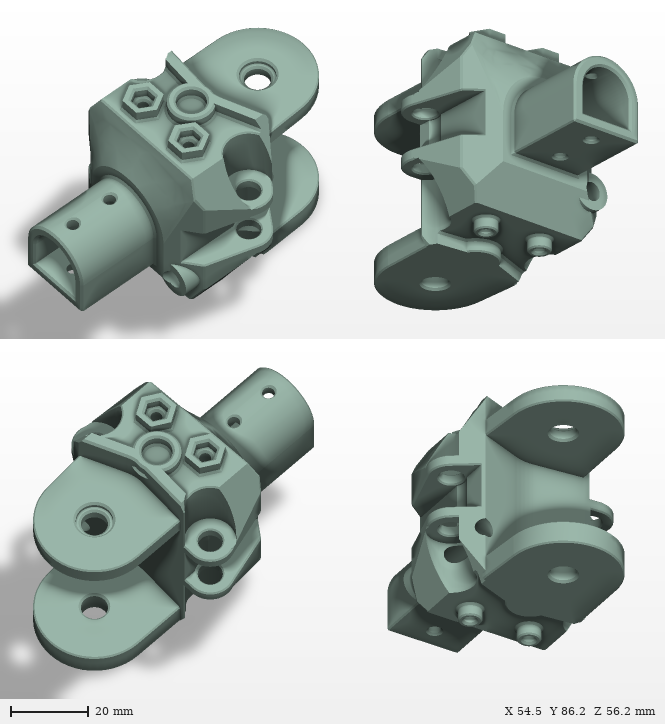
import math

import cadquery as cq


half_height = 28.1
hex_top_half_width = 15.8
hex_slope = math.sqrt(3)
plate_half_height = 24.6
tolerance = 0.01
small_edge = 0.4
wide_edge = 0.6
rear_corner_chamfer = 1.0

pad_height = half_height - plate_half_height

front_y = -23.4
front_half_width = 14.05
corner_y = -16.9
corner_x = 22.66
rear_left = (-15.9, 6.1)
rear_valley = (1.76, 4.43)
rear_right = (16.8, 10.4)
valley_radius = 12.0
nose_corner_x = 20.6

ear_x = 20.9
ear_radius = 6.34
ear_inner_z = 6.3
ear_outer_z = 9.5
ear_hole_diameter = 6.5
ear_clearance_radius = 6.75
slot_half_width = 17.65
slot_relief_radius = 4.07

rail_width = 3.3
top_pad_y = -1.4
top_pad_radius = 6.35
top_pad_bore_radius = 4.05
top_pad_bore_depth = 3.5
bottom_pad_y = 5.1
bottom_pad_radius = 6.6

bolt_x = 8.93
bolt_y = -10.15
bolt_hole_diameter = 3.1
nut_boss_flats = 9.4
nut_pocket_flats = 5.6
nut_pocket_depth = 3.0
bolt_pad_radius = 3.2

lug_y = 21.5
lug_radius = 15.9
lug_hole_diameter = 7.0
lug_counterbore_diameter = 9.7
lug_counterbore_depth = 1.5
upper_lug_z = (15.25, 20.25)
lower_lug_z = (-half_height, -21.6)

tube_end_y = -48.76
tube_radius = 10.8
tube_bore_radius = 7.7
cross_hole_ys = (-29.6, -42.3)
cross_hole_diameter = 3.3

side_boss_x = 16.5
side_boss_z = -12.9
side_boss_radius = 5.2
side_boss_end_y = -22.3
side_boss_hole_diameter = 5.3


def hex_half_width(z):
    """Half width of the six-sided section at height z."""
    return hex_top_half_width + (half_height - abs(z)) / hex_slope


def cylinder(x, y, radius, z_low, z_high):
    """Upright cylinder."""
    return cq.Workplane("XY", origin=(x, y, z_low)).circle(radius).extrude(z_high - z_low)


def countersunk_pin(x, y, diameter, z_low, z_high, mouth):
    """Cutter for an upright hole with a 45 degree chamfer at both ends."""
    radius = diameter / 2
    profile = [
        (0, z_low),
        (radius + mouth, z_low),
        (radius, z_low + mouth),
        (radius, z_high - mouth),
        (radius + mouth, z_high),
        (0, z_high),
    ]
    turned = cq.Workplane("XZ").polyline(profile).close().revolve(360, (0, 0), (0, 1))
    return turned.translate((x, y, 0))


def tangent_point(point, center, radius, side):
    """Touch point of the line from a point to a circle; side is +1 or -1."""
    dx = point[0] - center[0]
    dy = point[1] - center[1]
    angle = math.atan2(dy, dx) + side * math.acos(radius / math.hypot(dx, dy))
    return (center[0] + radius * math.cos(angle), center[1] + radius * math.sin(angle))


def level(x, y, z, up):
    """Horizontal work plane facing up (1) or down (-1)."""
    return cq.Workplane(cq.Plane(origin=(x, y, z), xDir=(1, 0, 0), normal=(0, 0, up)))


def arch_profile(radius, y, facing):
    """Outline with a round top and a square bottom on a plane facing +Y (1) or -Y (-1)."""
    plane = cq.Plane(origin=(0, y, 0), xDir=(-facing, 0, 0), normal=(0, facing, 0))
    return (
        cq.Workplane(plane)
        .moveTo(-radius, -radius)
        .lineTo(radius, -radius)
        .lineTo(radius, 0)
        .threePointArc((0, radius), (-radius, 0))
        .close()
    )


def polygon_face(points):
    return cq.Face.makeFromWires(cq.Wire.makePolygon([cq.Vector(*p) for p in points], close=True))


def nose():
    """Upper front of the body, blending the arched front face into the flat top."""
    share = (nose_corner_x - front_half_width) / (corner_x - front_half_width)
    nose_corner_y = front_y + share * (corner_y - front_y)
    nose_corner_z = half_height - (nose_corner_x - hex_top_half_width) * hex_slope
    corner_z = half_height - (corner_x - hex_top_half_width) * hex_slope
    top_x = hex_half_width(plate_half_height)

    def side_points(side):
        spring = (side * front_half_width, front_y, 0)
        nose_corner = (side * nose_corner_x, nose_corner_y, nose_corner_z)
        top = (side * top_x, corner_y, plate_half_height)
        corner = (side * corner_x, corner_y, corner_z)
        foot = (side * corner_x, corner_y, 0)
        return spring, nose_corner, top, corner, foot

    spring_l, nose_l, top_l, corner_l, foot_l = side_points(-1)
    spring_r, nose_r, top_r, corner_r, foot_r = side_points(1)
    crown = cq.Vector(0, front_y, front_half_width)
    arch = cq.Edge.makeThreePointArc(cq.Vector(*spring_l), crown, cq.Vector(*spring_r))
    rim_points = [spring_r, nose_r, top_r, top_l, nose_l, spring_l]
    rim = [cq.Edge.makeLine(cq.Vector(*a), cq.Vector(*b)) for a, b in zip(rim_points, rim_points[1:])]
    sill = cq.Edge.makeLine(cq.Vector(*spring_r), cq.Vector(*spring_l))
    faces = [
        cq.Face.makeNSidedSurface([arch] + rim, []),
        cq.Face.makeFromWires(cq.Wire.assembleEdges([arch, sill])),
        polygon_face([spring_l, foot_l, foot_r, spring_r]),
        polygon_face([foot_l, corner_l, top_l, top_r, corner_r, foot_r]),
    ]
    for spring, nose_corner, top, corner, foot in (side_points(-1), side_points(1)):
        faces.append(polygon_face([spring, foot, corner, nose_corner]))
        faces.append(polygon_face([nose_corner, corner, top]))
    return cq.Workplane(cq.Solid.makeSolid(cq.Shell.makeShell(faces)))


def valley_points():
    """Start, middle and end of the arc that rounds the shallow valley in the rear face."""
    to_left = math.atan2(rear_left[1] - rear_valley[1], rear_left[0] - rear_valley[0])
    to_right = math.atan2(rear_right[1] - rear_valley[1], rear_right[0] - rear_valley[0])
    half_angle = (to_left - to_right) / 2
    bisector = (to_left + to_right) / 2
    reach = valley_radius / math.tan(half_angle)
    sagitta = valley_radius / math.sin(half_angle) - valley_radius

    def along(angle, distance):
        return (rear_valley[0] + distance * math.cos(angle), rear_valley[1] + distance * math.sin(angle))

    return along(to_left, reach), along(bisector, sagitta), along(to_right, reach)


def body_outline():
    """Plan outline of the body, wrapping round both hinge ears."""
    ear_right = (ear_x, 0)
    ear_left = (-ear_x, 0)
    front_right = tangent_point((corner_x, corner_y), ear_right, ear_radius, 1)
    rear_right_touch = tangent_point(rear_right, ear_right, ear_radius, -1)
    rear_left_touch = tangent_point(rear_left, ear_left, ear_radius, 1)
    front_left = (-front_right[0], front_right[1])
    valley_start, valley_middle, valley_end = valley_points()
    return (
        cq.Workplane("XY", origin=(0, 0, -half_height))
        .moveTo(-front_half_width, front_y)
        .lineTo(front_half_width, front_y)
        .lineTo(corner_x, corner_y)
        .lineTo(*front_right)
        .threePointArc((ear_x + ear_radius, 0), rear_right_touch)
        .lineTo(*rear_right)
        .lineTo(*valley_end)
        .threePointArc(valley_middle, valley_start)
        .lineTo(*rear_left)
        .lineTo(*rear_left_touch)
        .threePointArc((-ear_x - ear_radius, 0), front_left)
        .lineTo(-corner_x, corner_y)
        .close()
    )


def six_sided_bar():
    """Bar along Y that trims the body to its six-sided section."""
    mid_half_width = hex_half_width(0)
    length = 2 * (rear_right[1] - front_y)
    points = [
        (hex_top_half_width, half_height),
        (mid_half_width, 0),
        (hex_top_half_width, -half_height),
        (-hex_top_half_width, -half_height),
        (-mid_half_width, 0),
        (-hex_top_half_width, half_height),
    ]
    return cq.Workplane("XZ").polyline(points).close().extrude(length / 2, both=True)


def face_recess(up):
    """Cutter that lowers the top (1) or bottom (-1) face in front of the rail along the rear edge."""
    side = 2 * ear_x
    left_slope = (rear_left[1] - rear_valley[1]) / (rear_left[0] - rear_valley[0])
    right_slope = (rear_right[1] - rear_valley[1]) / (rear_right[0] - rear_valley[0])
    valley_y = rear_valley[1] - rail_width
    left_y = valley_y - left_slope * (side + rear_valley[0])
    right_y = valley_y + right_slope * (side - rear_valley[0])
    points = [
        (-side, 2 * front_y),
        (side, 2 * front_y),
        (side, right_y),
        (rear_valley[0], valley_y),
        (-side, left_y),
    ]
    recess = level(0, 0, plate_half_height, 1).polyline(points).close().extrude(pad_height)
    rail_foot = recess.faces("<Z").edges().filter(lambda edge: edge.Center().y > 0)
    recess = rail_foot.chamfer(wide_edge)
    return recess if up > 0 else recess.mirror("XY")


def on_rail_rear(edge):
    """True for the edges of the shallow V that forms the rear of the rail."""
    center = edge.Center()
    return center.y > 0 and rear_left[0] < center.x < front_half_width


def on_nose_border(edge):
    """True for the edges where the front faces meet the top and the sloping sides."""
    box = edge.BoundingBox()
    ends_at_corner = abs(box.ymax - corner_y) < tolerance
    reaches_top = box.zmax > plate_half_height - tolerance
    along_side = abs(edge.Center().x) > hex_half_width(plate_half_height)
    clear_of_front = box.ymin > front_y + tolerance
    return ends_at_corner and clear_of_front and (reaches_top or along_side)


def body():
    """Six-sided block with its nose, lower front chamfer and recessed faces."""
    block = body_outline().extrude(2 * half_height)
    block = block.faces(">Z").edges().filter(on_rail_rear).chamfer(wide_edge)
    block = block.intersect(six_sided_bar())
    block = block.cut(face_recess(1)).cut(face_recess(-1))
    depth = corner_y - front_y
    nose_space = (
        cq.Workplane("XY")
        .box(4 * corner_x, depth, half_height, centered=(True, False, False))
        .translate((0, front_y, 0))
    )
    block = block.cut(nose_space).union(nose())
    chin_points = [
        (front_y, -front_half_width),
        (corner_y, -plate_half_height),
        (front_y, -plate_half_height),
    ]
    chin = (
        cq.Workplane("YZ", origin=(-2 * corner_x, 0, 0))
        .polyline(chin_points)
        .close()
        .extrude(4 * corner_x)
    )
    return block.cut(chin).edges().filter(on_nose_border).chamfer(small_edge)


def on_clearance_rim(edge):
    """True for the rims of the ear clearances on the top face."""
    center = edge.Center()
    on_top = edge.geomType() == "CIRCLE" and abs(center.z - plate_half_height) < tolerance
    return on_top and abs(center.x) > front_half_width


def on_rear_corner(edge):
    """True for the upright edges where the left clearance meets the rear face."""
    center = edge.Center()
    upright = edge.geomType() == "LINE" and edge.BoundingBox().ylen < tolerance
    beyond_ear = abs(center.z) > ear_outer_z
    in_corner = center.x < -hex_half_width(plate_half_height) and center.y > rear_left[1]
    return upright and beyond_ear and in_corner


def on_ear_rim(edge):
    """True for the outer rims of the ears."""
    box = edge.BoundingBox()
    level_edge = box.zlen < tolerance and abs(abs(box.zmin) - ear_outer_z) < tolerance
    reaches_tip = max(box.xmax, -box.xmin) > ear_x + ear_radius - tolerance
    return level_edge and reaches_tip and edge.geomType() == "CIRCLE"


def on_slot_mouth(edge):
    """True for the edges where the slots break out through the outside of the body."""
    box = edge.BoundingBox()
    level_edge = box.zlen < tolerance and abs(abs(box.zmin) - ear_inner_z) < tolerance
    return level_edge and max(box.xmax, -box.xmin) > slot_half_width + tolerance


def cut_hinges(part):
    """Clear the space round the ears, add the ears, then cut slots and pin holes."""
    for x in (-ear_x, ear_x):
        part = part.cut(cylinder(x, 0, ear_clearance_radius, ear_outer_z, half_height))
        part = part.cut(cylinder(x, 0, ear_clearance_radius, -half_height, -ear_outer_z))
        part = part.union(cylinder(x, 0, ear_radius, -ear_outer_z, ear_outer_z))
    part = part.edges().filter(on_clearance_rim).chamfer(small_edge)
    part = part.edges().filter(on_rear_corner).chamfer(rear_corner_chamfer)
    part = part.edges().filter(on_ear_rim).chamfer(small_edge)
    slot_depth = ear_x
    for side in (-1, 1):
        slot = cq.Workplane("XY").box(slot_depth, 4 * ear_x, 2 * ear_inner_z)
        part = part.cut(slot.translate((side * (slot_half_width + slot_depth / 2), 0, 0)))
    part = part.edges().filter(on_slot_mouth).chamfer(small_edge)
    for side in (-1, 1):
        part = part.cut(cylinder(side * ear_x, 0, slot_relief_radius, -ear_inner_z, ear_inner_z))
        for low, high in ((-ear_outer_z, -ear_inner_z), (ear_inner_z, ear_outer_z)):
            part = part.cut(countersunk_pin(side * ear_x, 0, ear_hole_diameter, low, high, small_edge))
    return part


def lug_plate(z_low, z_high):
    """Rounded rear plate, rooted halfway into the rail; its right side leans out to meet the body."""
    touch = tangent_point(rear_right, (0, lug_y), lug_radius, 1)
    root = rail_width / 2
    return (
        cq.Workplane("XY", origin=(0, 0, z_low))
        .moveTo(-lug_radius, rear_left[1] - root)
        .lineTo(rear_valley[0], rear_valley[1] - root)
        .lineTo(rear_right[0], rear_right[1] - root)
        .lineTo(*rear_right)
        .lineTo(*touch)
        .threePointArc((0, lug_y + lug_radius), (-lug_radius, lug_y))
        .close()
        .extrude(z_high - z_low)
        .faces("<Z or >Z")
        .edges()
        .chamfer(small_edge)
    )


def add_lugs(part):
    """Upper lug with a counterbored pin hole and lower lug with a plain one."""
    low, high = upper_lug_z
    floor = high - lug_counterbore_depth
    radius = lug_counterbore_diameter / 2
    mouth = level(0, lug_y, high, -1).circle(radius + wide_edge).extrude(wide_edge, taper=45)
    upper = lug_plate(low, high)
    upper = upper.cut(countersunk_pin(0, lug_y, lug_hole_diameter, low, floor, wide_edge))
    upper = upper.cut(cylinder(0, lug_y, radius, floor, high)).cut(mouth)

    low, high = lower_lug_z
    lower = lug_plate(low, high)
    lower = lower.cut(countersunk_pin(0, lug_y, lug_hole_diameter, low, high, wide_edge))
    return part.union(upper).union(lower)


def corner_diameter(flats):
    """Diameter across the corners of a hexagon."""
    return flats / math.cos(math.pi / 6)


def round_pad(x, y, radius, up, top_edge):
    """Round pad on the top (up = 1) or bottom (up = -1) face, flared at its foot."""
    foot = level(x, y, up * plate_half_height, up)
    pad = foot.circle(radius).extrude(pad_height)
    pad = pad.faces(">Z" if up > 0 else "<Z").chamfer(top_edge)
    return pad.union(foot.circle(radius + wide_edge).extrude(wide_edge, taper=45))


def nut_boss(x, y):
    """Hexagonal boss on the top face, flared at its foot, with corners pointing along X."""
    foot = level(x, y, plate_half_height, 1)
    boss = foot.polygon(6, corner_diameter(nut_boss_flats)).extrude(pad_height)
    flare = foot.polygon(6, corner_diameter(nut_boss_flats + 2 * wide_edge)).extrude(wide_edge, taper=45)
    return boss.union(flare)


def nut_pocket(x, y):
    """Cutter for a hexagonal pocket with a chamfered mouth."""
    mouth = level(x, y, half_height, -1)
    pocket = mouth.polygon(6, corner_diameter(nut_pocket_flats)).extrude(nut_pocket_depth)
    flare = mouth.polygon(6, corner_diameter(nut_pocket_flats + 2 * wide_edge)).extrude(wide_edge, taper=45)
    return pocket.union(flare)


def add_pads(part):
    """Round pads, nut bosses and bolt pads standing on the top and bottom faces."""
    part = part.union(round_pad(0, top_pad_y, top_pad_radius, 1, wide_edge))
    part = part.union(round_pad(0, bottom_pad_y, bottom_pad_radius, -1, small_edge))
    pocket_floor = half_height - nut_pocket_depth
    for x in (-bolt_x, bolt_x):
        part = part.union(nut_boss(x, bolt_y))
        part = part.union(round_pad(x, bolt_y, bolt_pad_radius, -1, small_edge))
    for x in (-bolt_x, bolt_x):
        part = part.cut(nut_pocket(x, bolt_y))
        part = part.cut(countersunk_pin(x, bolt_y, bolt_hole_diameter, -half_height, pocket_floor, wide_edge))
    mouth = level(0, top_pad_y, half_height, -1)
    bore = mouth.circle(top_pad_bore_radius).extrude(top_pad_bore_depth).faces("<Z").chamfer(wide_edge)
    return part.cut(bore).cut(mouth.circle(top_pad_bore_radius + wide_edge).extrude(wide_edge, taper=45))


def add_tube(part):
    """Arched tube on the front face with a flared root and two vertical cross holes."""
    tube = arch_profile(tube_radius, front_y, -1).extrude(front_y - tube_end_y)
    tube = tube.edges("|Y and <Z").chamfer(small_edge)
    tube = tube.faces("<Y").edges().chamfer(wide_edge)
    root = arch_profile(tube_radius + wide_edge, front_y, -1).extrude(wide_edge, taper=45)
    bore = arch_profile(tube_bore_radius, front_y, -1).extrude(front_y - tube_end_y)
    bore = bore.faces(">Y").edges().chamfer(wide_edge)
    mouth = arch_profile(tube_bore_radius + wide_edge, tube_end_y, 1).extrude(wide_edge, taper=45)
    part = part.union(tube).union(root).cut(bore).cut(mouth)
    for y in cross_hole_ys:
        part = part.cut(countersunk_pin(0, y, cross_hole_diameter, -tube_radius, tube_radius, wide_edge))
    return part


def add_side_boss(part):
    """Round boss on the lower right of the nose, bored right through along Y."""
    start = cq.Workplane("XZ", origin=(side_boss_x, corner_y, side_boss_z))
    bore_reach = 2 * (rear_right[1] - front_y)
    boss = start.circle(side_boss_radius).extrude(corner_y - side_boss_end_y)
    bore = start.circle(side_boss_hole_diameter / 2).extrude(bore_reach, both=True)
    return part.union(boss).cut(bore)


result = body()
result = add_lugs(result)
result = cut_hinges(result)
result = add_pads(result)
result = add_tube(result)
result = add_side_boss(result)